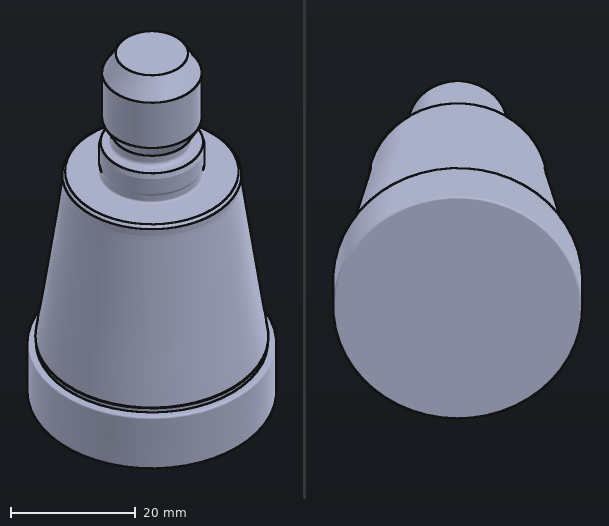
import cadquery as cq
import math

total_height = 69.0
foot_height = 10.55
recess_depth = foot_height / 2
cone_bottom_z = 11.6
cone_top_z = 42.3
rim_bottom_z = 43.0
body_top_z = 45.05

foot_radius = 39.95 / 2
foot_edge_radius = 0.4

plug_radius = 18.6
cone_bottom_radius = 18.7
step_height = 0.2
rim_radius = 28.8 / 2
cone_top_radius = rim_radius + 0.1
rim_chamfer_width = 0.5
rim_chamfer_height = 0.6

dish_radius = 9.7
dish_depth = 0.1
root_fillet = 0.4

shank_radius = 16.6 / 2
collar_radius = 17.0 / 2
neck_radius = 13.0 / 2
head_radius = 16.0 / 2
neck_flare_radius = 6.7
tip_radius = 5.8
shank_top_z = 46.45
collar_bottom_z = 47.0
collar_chamfer_z = 49.95
collar_top_z = 51.0
collar_top_radius = 8.2
neck_fillet = 0.9
neck_top_z = 53.2
neck_flare_z = 53.6
head_bottom_z = 55.95
head_top_z = 65.15


def arc_middle(radius, z, fillet):
    """Middle point of a concave quarter fillet between an upright wall and the floor below it."""
    inset = fillet * (1 - math.sin(math.pi / 4))
    return radius + inset, z + inset


def make_body():
    """Conical body and ball-lock stud, turned as one piece around Z."""
    plug_bottom_z = foot_height - recess_depth
    dish_z = body_top_z - dish_depth
    profile = (
        cq.Workplane("XZ")
        .moveTo(0, plug_bottom_z)
        .lineTo(plug_radius, plug_bottom_z)
        .lineTo(plug_radius, cone_bottom_z - step_height)
        .lineTo(cone_bottom_radius, cone_bottom_z)
        .lineTo(cone_top_radius, cone_top_z)
        .lineTo(rim_radius, rim_bottom_z)
        .lineTo(rim_radius, body_top_z - rim_chamfer_height)
        .lineTo(rim_radius - rim_chamfer_width, body_top_z)
        .lineTo(dish_radius, body_top_z)
        .lineTo(shank_radius + root_fillet, dish_z)
        .threePointArc(
            arc_middle(shank_radius, dish_z, root_fillet),
            (shank_radius, dish_z + root_fillet),
        )
        .lineTo(shank_radius, shank_top_z)
        .lineTo(collar_radius, collar_bottom_z)
        .lineTo(collar_radius, collar_chamfer_z)
        .lineTo(collar_top_radius, collar_top_z)
        .lineTo(neck_radius + neck_fillet, collar_top_z)
        .threePointArc(
            arc_middle(neck_radius, collar_top_z, neck_fillet),
            (neck_radius, collar_top_z + neck_fillet),
        )
        .lineTo(neck_radius, neck_top_z)
        .lineTo(neck_flare_radius, neck_flare_z)
        .lineTo(head_radius, head_bottom_z)
        .lineTo(head_radius, head_top_z)
        .lineTo(tip_radius, total_height)
        .lineTo(0, total_height)
        .close()
    )
    return profile.revolve(360, (0, 0, 0), (0, 1, 0))


def make_foot():
    """Round foot with rounded edges and a recess that holds the plug of the body."""
    puck = cq.Workplane("XY").circle(foot_radius).extrude(foot_height)
    puck = puck.edges().fillet(foot_edge_radius)
    recess = (
        cq.Workplane("XY")
        .workplane(offset=foot_height - recess_depth)
        .circle(plug_radius)
        .extrude(recess_depth)
    )
    return puck.cut(recess)


body = make_body()
foot = make_foot()

result = cq.Compound.makeCompound([body.val(), foot.val()])